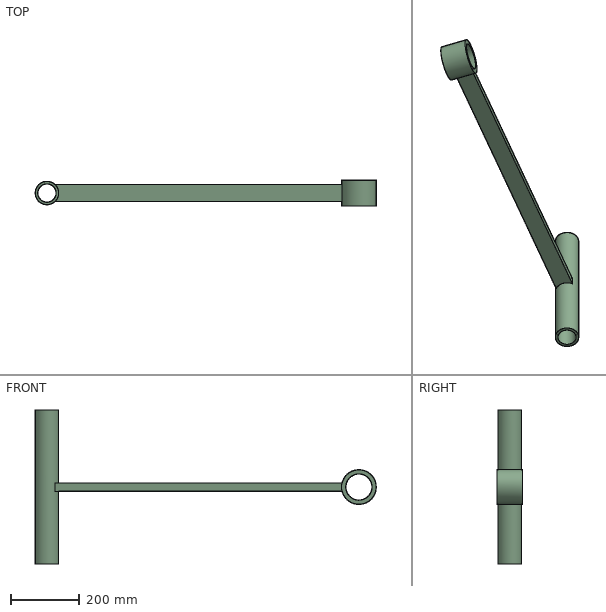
import cadquery as cq

total_length = 1000.0

post_diameter = 69.0
post_bore = 53.0
post_height = 452.0

eye_diameter = 102.0
eye_bore = 76.0
eye_width = 76.0

bar_width = 51.0
bar_thickness = 25.0

eye_x = total_length - post_diameter / 2 - eye_diameter / 2


def cylinder_along_z(diameter, length):
    return cq.Workplane("XY").circle(diameter / 2).extrude(length / 2, both=True)


def cylinder_along_y(diameter, length):
    return cq.Workplane("XZ").center(eye_x, 0).circle(diameter / 2).extrude(length / 2, both=True)


bar = cq.Workplane("XY").box(eye_x, bar_width, bar_thickness).translate((eye_x / 2, 0, 0))
post = cylinder_along_z(post_diameter, post_height)
eye = cylinder_along_y(eye_diameter, eye_width)

result = (
    bar.union(post)
    .union(eye)
    .cut(cylinder_along_z(post_bore, post_height))
    .cut(cylinder_along_y(eye_bore, eye_width))
)